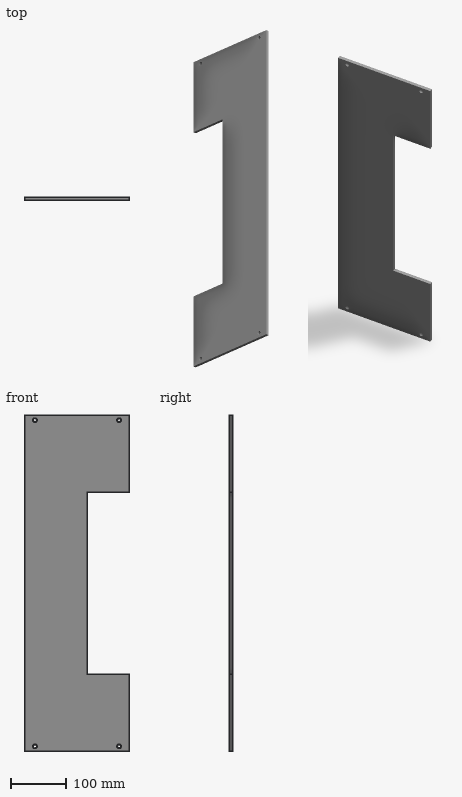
import cadquery as cq

width = 190.0
thickness = 6.0
height = 609.5

notch_depth = 76.0
notch_height = 329.0

hole_diameter = 7.0
hole_side_inset = 19.0
hole_end_inset = 9.0


def make_plate():
    """Upright plate centred on the origin."""
    return cq.Workplane("XY").box(width, thickness, height)


def make_notch():
    """Block that removes the middle of the +X edge."""
    block = cq.Workplane("XY").box(notch_depth, thickness, notch_height)
    return block.translate(((width - notch_depth) / 2, 0, 0))


def drill_corner_holes(plate):
    """Drill a through hole near each outer corner."""
    spacing_x = width - 2 * hole_side_inset
    spacing_z = height - 2 * hole_end_inset
    front = plate.faces("<Y").workplane(origin=(0, 0, 0))
    return front.rect(spacing_x, spacing_z, forConstruction=True).vertices().hole(hole_diameter)


result = drill_corner_holes(make_plate().cut(make_notch()))